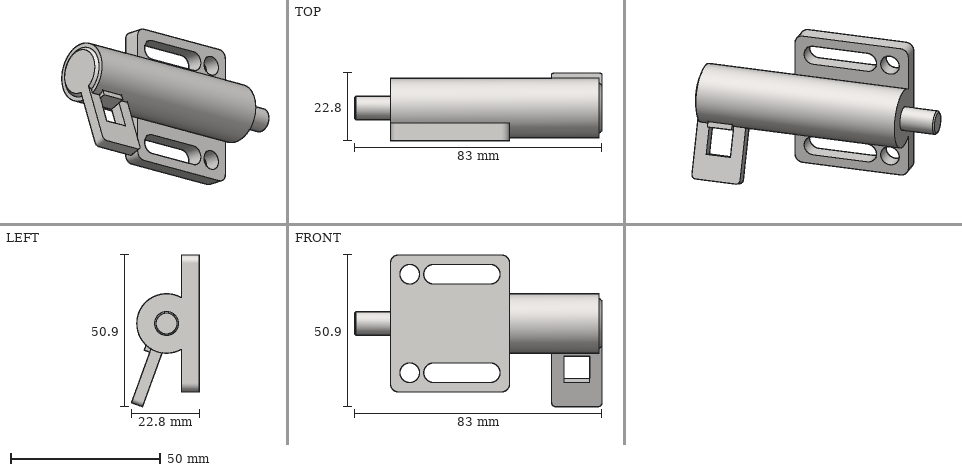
import cadquery as cq


barrel_radius = 10.0
barrel_length = 70.0
pin_radius = 4.0
pin_length = 12.0
pin_chamfer = 0.5

plate_length = 40.0
plate_height = 46.0
plate_thickness = 6.0
plate_face_y = -11.0
plate_corner_radius = 2.8
hole_diameter = 6.5
hole_inset = 6.5
slot_start = 14.5

handle_angle = 20.0
hub_radius = 8.5
hub_chamfer = 1.0
hub_overhang = 1.0
lever_width = 17.0
lever_thickness = 4.0
lever_reach = 29.0
lever_corner_radius = 1.5
window_width = 8.5
window_top = 11.0
window_bottom = 20.3
stop_thickness = 2.0

handle_end = barrel_length + hub_overhang
handle_start = handle_end - lever_width
window_start = handle_start + (lever_width - window_width) / 2


def x_cylinder(radius, start, length):
    """Solid cylinder on the latch axis."""
    return cq.Workplane("YZ", origin=(start, 0, 0)).circle(radius).extrude(length)


def hanging_block(start, width, back_y, thickness, top, bottom):
    """Box below the axis: top and bottom are distances down from it, back_y its lower Y side."""
    return (
        cq.Workplane("XY")
        .box(width, thickness, bottom - top, centered=False)
        .translate((start, back_y, -bottom))
    )


def make_plate():
    """Rounded plate with a round hole and a slot along both long edges."""
    plate = (
        cq.Workplane("XY")
        .box(plate_length, plate_thickness, plate_height, centered=(False, False, True))
        .translate((0, plate_face_y, 0))
        .edges("|Y")
        .fillet(plate_corner_radius)
    )
    slot_end = plate_length - hole_inset
    slot_centre = (slot_start + slot_end) / 2
    slot_length = slot_end - slot_start + hole_diameter
    row_height = plate_height / 2 - hole_inset
    for z in (-row_height, row_height):
        face = cq.Workplane("XZ", origin=(0, plate_face_y, 0))
        hole = face.center(hole_inset, z).circle(hole_diameter / 2).extrude(-plate_thickness)
        slot = face.center(slot_centre, z).slot2D(slot_length, hole_diameter).extrude(-plate_thickness)
        plate = plate.cut(hole).cut(slot)
    return plate


def make_handle():
    """Hub and lever, modelled hanging straight down and then swung about the axis."""
    hub = x_cylinder(hub_radius, handle_start, lever_width).faces(">X").chamfer(hub_chamfer)
    lever = (
        hanging_block(handle_start, lever_width, -lever_thickness / 2, lever_thickness, 0, lever_reach)
        .edges("|Y and <Z")
        .fillet(lever_corner_radius)
    )
    window = hanging_block(
        window_start, window_width, -lever_thickness / 2, lever_thickness, window_top, window_bottom
    )
    stop = hanging_block(window_start, window_width, lever_thickness / 2, stop_thickness, 0, window_top)
    handle = lever.cut(window).union(hub).union(stop)
    return handle.rotate((0, 0, 0), (1, 0, 0), handle_angle)


def make_housing(handle):
    """Plate, barrel and pin in one piece, recessed at the rear to take the handle."""
    pin = x_cylinder(pin_radius, -pin_length, pin_length).faces("<X").chamfer(pin_chamfer)
    barrel = x_cylinder(barrel_radius, 0, barrel_length)
    hub_bore = x_cylinder(hub_radius, handle_start, barrel_length - handle_start)
    return make_plate().union(barrel).union(pin).cut(hub_bore).cut(handle)


handle = make_handle()
housing = make_housing(handle)

result = cq.Compound.makeCompound([housing.val(), handle.val()])